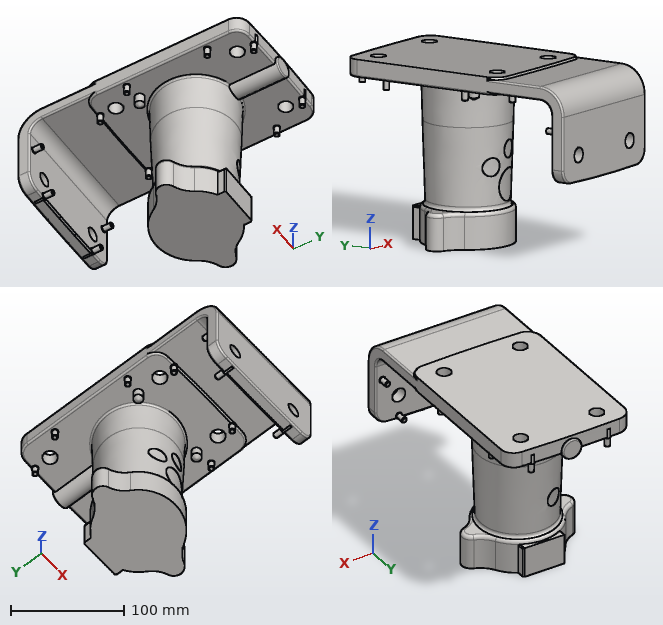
import cadquery as cq
import math

total_height = 165.0
width = 128.5
front_y = -145.8
corner_radius = 13.5
end_bow = 1.0

pad_thickness = 16.0
pad_back_y = 89.0
pad_front_y = -78.2
pad_edge_fillet = 2.0
pad_bottom_z = total_height - pad_thickness

strap_thickness = 12.3
strap_step = 2.1
step_angle = 27
strap_back_y = -47.5
strap_edge_fillet = 1.7
bend_outer_radius = 25.0
bend_inner_radius = bend_outer_radius - strap_thickness
strap_top_z = total_height - strap_step
strap_bottom_z = strap_top_z - strap_thickness
leg_bottom_z = 75.1
leg_inner_y = front_y + strap_thickness

hole_diameter = 13.5
hole_x = 39.5
pad_hole_ys = (68.5, -58.5)
leg_hole_z = 100.0

pin_diameter = 5.5
pin_length = 9.5
pin_chamfer = 0.7
pin_root_flare = 0.5
pin_side_x = 56.9
pad_pins = ((hole_x, 85.8), (pin_side_x, 48.0), (pin_side_x, -36.0), (hole_x, -75.0))
leg_pins = ((pin_side_x, 122.0), (hole_x, 78.7))

stub_diameter = 9.2
stub_y = -33.7
stub_straight = 9.5
stub_tip = 2.5
stub_sink = 2.4

knob_height = 33.7
knob_radius = 42.5
knob_edge_fillet = 3.5
lobe_reach = 57.8
lobe_tip_radius = 9.7
lobe_blend_radius = 28.5
block_half_width = 21.8
block_chamfer = 1.2
block_back_y = 44.8
block_height = knob_height - knob_edge_fillet

column_bottom_z = 38.0
column_bottom_radius = 38.0
column_break_z = 109.7
column_break_radius = 40.3
column_top_radius = 41.2
column_top_z = 147.0
root_reach = 2.0

barrel_diameter = 20.1
barrel_z = 152.0
barrel_back_y = 91.2
barrel_edge_fillet = 1.2

mark_depth = 0.2
marks = (
    (8.5, 53.8, 30.0, -1),
    (-15.0, 72.5, 16.5, -1),
    (7.5, 86.0, 16.5, -1),
    (-15.9, 66.1, 16.5, 1),
)


def pad_outline(z):
    half = width / 2
    corner_x = half - corner_radius
    back_chord = pad_back_y - end_bow
    front_chord = pad_front_y + end_bow
    return (
        cq.Workplane("XY", origin=(0, 0, z))
        .moveTo(half, front_chord + corner_radius)
        .lineTo(half, back_chord - corner_radius)
        .radiusArc((corner_x, back_chord), -corner_radius)
        .threePointArc((0, pad_back_y), (-corner_x, back_chord))
        .radiusArc((-half, back_chord - corner_radius), -corner_radius)
        .lineTo(-half, front_chord + corner_radius)
        .radiusArc((-corner_x, front_chord), -corner_radius)
        .threePointArc((0, pad_front_y), (corner_x, front_chord))
        .radiusArc((half, front_chord + corner_radius), -corner_radius)
        .close()
    )


def make_pad():
    pad = pad_outline(pad_bottom_z).extrude(pad_thickness)
    return pad.faces("<Z").edges().fillet(pad_edge_fillet)


def make_step():
    """Sloping foot where the pad's front end rises from the strap."""
    slope = pad_outline(total_height).extrude(-strap_step, taper=-step_angle)
    front_end = cq.Workplane("XY", origin=(0, pad_front_y, total_height)).box(
        width, 2 * corner_radius, 2 * strap_step
    )
    return slope.intersect(front_end)


def make_strap():
    half = width / 2
    bend_y = front_y + bend_outer_radius
    bend_z = strap_top_z - bend_outer_radius
    profile = (
        cq.Workplane("YZ", origin=(-half, 0, 0))
        .moveTo(strap_back_y, strap_top_z)
        .lineTo(bend_y, strap_top_z)
        .radiusArc((front_y, bend_z), -bend_outer_radius)
        .lineTo(front_y, leg_bottom_z)
        .lineTo(leg_inner_y, leg_bottom_z)
        .lineTo(leg_inner_y, bend_z)
        .radiusArc((bend_y, strap_bottom_z), bend_inner_radius)
        .lineTo(strap_back_y, strap_bottom_z)
        .close()
        .extrude(width)
    )
    corner_x = half - corner_radius
    chord_z = leg_bottom_z + end_bow
    front_outline = (
        cq.Workplane("XZ", origin=(0, strap_back_y, 0))
        .moveTo(half, strap_top_z)
        .lineTo(half, chord_z + corner_radius)
        .radiusArc((corner_x, chord_z), corner_radius)
        .threePointArc((0, leg_bottom_z), (-corner_x, chord_z))
        .radiusArc((-half, chord_z + corner_radius), corner_radius)
        .lineTo(-half, strap_top_z)
        .close()
        .extrude(strap_back_y - front_y)
    )
    strap = profile.intersect(front_outline)
    rim = strap.edges("not |X").filter(lambda edge: edge.Length() > 1.1 * strap_thickness)
    return rim.fillet(strap_edge_fillet)


def make_knob():
    """Round knob with a lobe on each X side and a square block at the back."""
    tip_x = lobe_reach - lobe_tip_radius
    disc_to_blend = knob_radius + lobe_blend_radius
    tip_to_blend = lobe_tip_radius + lobe_blend_radius
    cos_blend = (disc_to_blend**2 + tip_x**2 - tip_to_blend**2) / (2 * disc_to_blend * tip_x)
    blend_angle = math.acos(cos_blend)
    blend_x = disc_to_blend * math.cos(blend_angle)
    blend_y = disc_to_blend * math.sin(blend_angle)
    disc_x = knob_radius * math.cos(blend_angle)
    disc_y = knob_radius * math.sin(blend_angle)
    touch_x = tip_x + (blend_x - tip_x) * lobe_tip_radius / tip_to_blend
    touch_y = blend_y * lobe_tip_radius / tip_to_blend
    body = (
        cq.Workplane("XY")
        .moveTo(disc_x, disc_y)
        .radiusArc((touch_x, touch_y), -lobe_blend_radius)
        .threePointArc((lobe_reach, 0), (touch_x, -touch_y))
        .radiusArc((disc_x, -disc_y), -lobe_blend_radius)
        .threePointArc((0, -knob_radius), (-disc_x, -disc_y))
        .radiusArc((-touch_x, -touch_y), -lobe_blend_radius)
        .threePointArc((-lobe_reach, 0), (-touch_x, touch_y))
        .radiusArc((-disc_x, disc_y), -lobe_blend_radius)
        .threePointArc((0, knob_radius), (disc_x, disc_y))
        .close()
        .extrude(knob_height)
        .faces(">Z")
        .edges()
        .fillet(knob_edge_fillet)
    )
    block = cq.Workplane("XY").box(
        2 * block_half_width, block_back_y, block_height, centered=(True, False, False)
    )
    block = block.edges("(>Y and |Z) or (>Z and |Y)").chamfer(block_chamfer)
    return body.union(block)


def make_column(inset=0.0):
    """Tapered column with flared roots; inset slims its tapered wall."""
    bottom = column_bottom_radius - inset
    top = column_top_radius - inset
    core_top_z = total_height - pad_thickness / 2
    return (
        cq.Workplane("XZ")
        .moveTo(0, knob_height / 2)
        .lineTo(bottom + root_reach, knob_height / 2)
        .lineTo(bottom + root_reach, knob_height)
        .radiusArc((bottom, column_bottom_z), 2 * root_reach)
        .lineTo(column_break_radius - inset, column_break_z)
        .lineTo(top, column_top_z)
        .radiusArc((top + root_reach, pad_bottom_z), root_reach)
        .lineTo(top + root_reach, core_top_z)
        .lineTo(0, core_top_z)
        .close()
        .revolve(360, (0, 0, 0), (0, 1, 0))
    )


def cut_marks(column):
    core = make_column(mark_depth)
    for x, z, diameter, side in marks:
        plug = (
            cq.Workplane("XZ", origin=(x, 0, z))
            .circle(diameter / 2)
            .extrude(-side * 2 * knob_radius)
        )
        column = column.cut(plug.cut(core))
    return column


def make_barrel():
    return (
        cq.Workplane("XZ", origin=(0, barrel_back_y, 0))
        .center(0, barrel_z)
        .circle(barrel_diameter / 2)
        .extrude(barrel_back_y)
        .faces(">Y")
        .edges()
        .fillet(barrel_edge_fillet)
    )


def make_pin(x, y):
    """Pin hanging below the pad, with a flared root sunk into the pad."""
    radius = pin_diameter / 2
    profile = [
        (0, pin_length),
        (radius + pin_root_flare, pin_length),
        (radius + pin_root_flare, 0),
        (radius, -pin_root_flare),
        (radius, pin_chamfer - pin_length),
        (radius - pin_chamfer, -pin_length),
        (0, -pin_length),
    ]
    return (
        cq.Workplane("XZ", origin=(x, y, pad_bottom_z))
        .polyline(profile)
        .close()
        .revolve(360, (0, 0, 0), (0, 1, 0))
    )


def make_leg_pin(x, z):
    """The same pin standing on the inner face of the leg."""
    upright = make_pin(0, 0).translate((0, 0, -pad_bottom_z))
    return upright.rotate((0, 0, 0), (1, 0, 0), 90).translate((x, leg_inner_y, z))


def make_stub(x):
    radius = stub_diameter / 2
    profile = [
        (0, stub_sink),
        (radius, stub_sink),
        (radius, -stub_straight),
        (0, -stub_straight - stub_tip),
    ]
    return (
        cq.Workplane("XZ", origin=(x, stub_y, pad_bottom_z))
        .polyline(profile)
        .close()
        .revolve(360, (0, 0, 0), (0, 1, 0))
    )


def make_pad_hole(x, y):
    return (
        cq.Workplane("XY", origin=(x, y, pad_bottom_z))
        .circle(hole_diameter / 2)
        .extrude(pad_thickness)
    )


def make_leg_hole(x):
    return (
        cq.Workplane("XZ", origin=(x, leg_inner_y, leg_hole_z))
        .circle(hole_diameter / 2)
        .extrude(strap_thickness)
    )


result = make_pad().union(make_step()).union(make_strap()).union(make_knob())
result = result.union(cut_marks(make_column())).union(make_barrel())

for side in (-1, 1):
    for x, y in pad_pins:
        result = result.union(make_pin(side * x, y))
    for x, z in leg_pins:
        result = result.union(make_leg_pin(side * x, z))
    result = result.union(make_stub(side * hole_x))
    for y in pad_hole_ys:
        result = result.cut(make_pad_hole(side * hole_x, y))
    result = result.cut(make_leg_hole(side * hole_x))